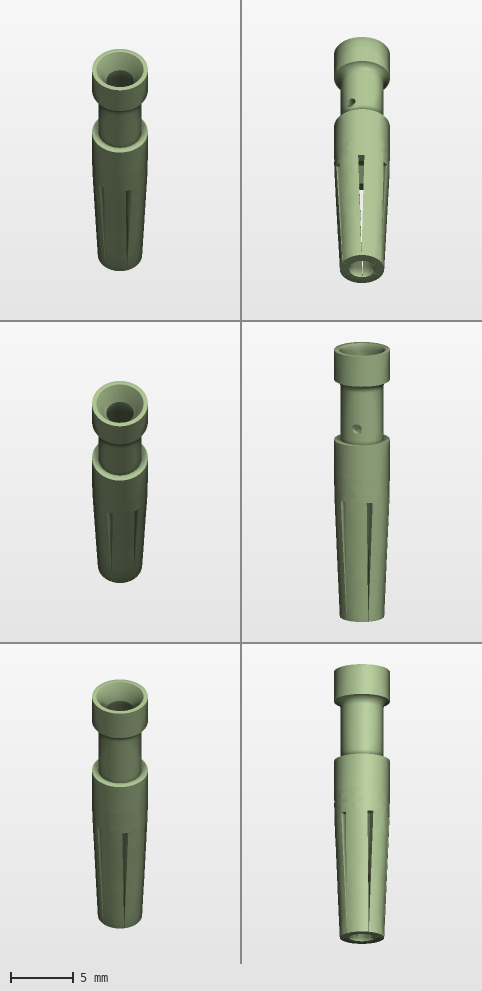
import cadquery as cq
import math

length = 22.3
body_radius = 2.25

head_length = 2.5
neck_radius = 1.73
neck_flare_radius = 0.64
neck_end_depth = 7.5
funnel_radius = 1.9
funnel_depth = 1.3
wire_bore_radius = 1.1
wire_bore_depth = 7.0
drill_tip_angle = 118
inspection_hole_diameter = 0.8
inspection_hole_depth = 6.2

taper_start_z = 12.0
finger_bend_z = 8.4
finger_bend_radius = 2.155
tip_taper_z = 3.6
tip_taper_radius = 1.95
tip_radius = 1.79
finger_wall = 0.75

finger_count = 6
slot_top_z = 10.05
slot_top_width = 0.5
slot_tip_width = 0.01


def make_body():
    """Turned outline: head, flared neck, collar and tapered fingers."""
    head_z = length - head_length
    neck_bottom_z = length - neck_end_depth
    flare_center_radius = neck_radius + neck_flare_radius
    flare_angle = math.acos((flare_center_radius - body_radius) / neck_flare_radius)
    neck_top_z = head_z - neck_flare_radius * math.sin(flare_angle)
    flare_mid = (
        flare_center_radius - neck_flare_radius * math.cos(flare_angle / 2),
        neck_top_z + neck_flare_radius * math.sin(flare_angle / 2),
    )
    bend_mid = (
        body_radius - (body_radius - finger_bend_radius) / 4,
        (taper_start_z + finger_bend_z) / 2,
    )
    return (
        cq.Workplane("XZ")
        .lineTo(tip_radius, 0)
        .lineTo(tip_taper_radius, tip_taper_z)
        .lineTo(finger_bend_radius, finger_bend_z)
        .threePointArc(bend_mid, (body_radius, taper_start_z))
        .lineTo(body_radius, neck_bottom_z)
        .lineTo(neck_radius, neck_bottom_z)
        .lineTo(neck_radius, neck_top_z)
        .threePointArc(flare_mid, (body_radius, head_z))
        .lineTo(body_radius, length)
        .lineTo(0, length)
        .close()
        .revolve(360, (0, 0, 0), (0, 1, 0))
    )


def make_wire_bore():
    """Drilled wire bore with a funnel mouth and a conical drill tip."""
    bore_end_z = length - wire_bore_depth
    tip_length = wire_bore_radius / math.tan(math.radians(drill_tip_angle / 2))
    return (
        cq.Workplane("XZ")
        .moveTo(0, bore_end_z - tip_length)
        .lineTo(wire_bore_radius, bore_end_z)
        .lineTo(wire_bore_radius, length - funnel_depth)
        .lineTo(funnel_radius, length)
        .lineTo(0, length)
        .close()
        .revolve(360, (0, 0, 0), (0, 1, 0))
    )


def make_inspection_hole():
    """Radial hole on the -X side, reaching into the wire bore."""
    return (
        cq.Workplane("YZ")
        .center(0, length - inspection_hole_depth)
        .circle(inspection_hole_diameter / 2)
        .extrude(-body_radius)
    )


def make_pin_bore():
    """Bore for the mating pin, open at the tip and narrowing with the fingers."""
    return (
        cq.Workplane("XZ")
        .lineTo(tip_radius - finger_wall, 0)
        .lineTo(finger_bend_radius - finger_wall, finger_bend_z)
        .lineTo(body_radius - finger_wall, taper_start_z)
        .lineTo(0, taper_start_z)
        .close()
        .revolve(360, (0, 0, 0), (0, 1, 0))
    )


def make_slot(angle):
    """Wedge-shaped slot running right across the socket end."""
    return (
        cq.Workplane("XZ")
        .moveTo(-slot_tip_width / 2, 0)
        .lineTo(slot_tip_width / 2, 0)
        .lineTo(slot_top_width / 2, slot_top_z)
        .lineTo(-slot_top_width / 2, slot_top_z)
        .close()
        .extrude(body_radius, both=True)
        .rotate((0, 0, 0), (0, 0, 1), angle)
    )


result = make_body()
result = result.cut(make_wire_bore())
result = result.cut(make_inspection_hole())
result = result.cut(make_pin_bore())

for index in range(finger_count // 2):
    result = result.cut(make_slot(index * 360 / finger_count))